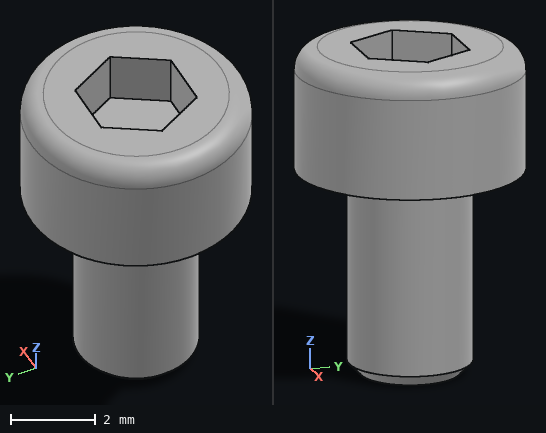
import cadquery as cq
import math

thread_diameter = 3.0
shank_length = 5.0
tip_chamfer = 0.3

head_diameter = 5.5
head_height = thread_diameter
head_fillet = head_diameter / 10

socket_across_flats = 2.5
socket_depth = 1.3
socket_across_corners = socket_across_flats / math.cos(math.pi / 6)


def make_head():
    """Cylindrical head with a rounded top rim."""
    head = cq.Workplane("XY").circle(head_diameter / 2).extrude(head_height)
    return head.faces(">Z").edges().fillet(head_fillet)


def make_shank():
    """Plain shank hanging below the head, chamfered at its tip."""
    shank = cq.Workplane("XY").circle(thread_diameter / 2).extrude(-shank_length)
    return shank.faces("<Z").edges().chamfer(tip_chamfer)


def make_socket():
    """Flat-bottomed hexagonal socket volume with two corners on the X axis."""
    head_top = cq.Workplane("XY").workplane(offset=head_height)
    return head_top.polygon(6, socket_across_corners).extrude(-socket_depth)


result = make_head().union(make_shank()).cut(make_socket())